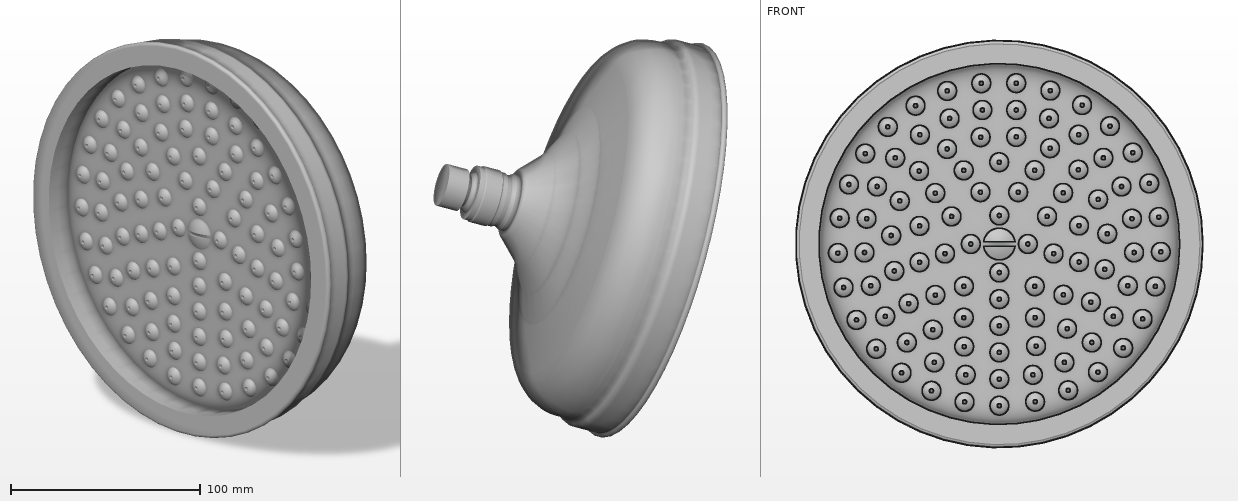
import cadquery as cq
import math


RIM_DIAMETER = 215.0
TOTAL_DEPTH = 120.5

BEAD_RADIUS = 1.7
BAND_RADIUS = RIM_DIAMETER / 2 - BEAD_RADIUS
BAND_TOP = 15.7
STEP_WIDTH = 3.2
STEP_HEIGHT = 6.5
SHOULDER_RADIUS = BAND_RADIUS - STEP_WIDTH
SHOULDER_START = 26.0
SHOULDER_ARC = 22.5
CONE_SLOPE = math.radians(13)
CONE_END_RADIUS = 59.3
BELL_TOP_RADIUS = 19.8
BELL_TOP = 81.3
BELL_ROUND_HEIGHT = 1.5
BELL_ROUND_WIDTH = 2.0

FOOT_RADIUS = 15.3
GROOVE_RADIUS = 14.0
COLLAR_RADIUS = 14.6
NUT_RADIUS = 15.3
BALL_BASE_RADIUS = 11.0
BALL_TOP_RADIUS = 9.0
WAIST_RADIUS = 8.2
NECK_RADIUS = 8.8
STUB_RADIUS = 11.5
FOOT_TOP = 83.6
FOOT_LIP_RADIUS = 14.5
FOOT_LIP = 85.1
GROOVE_BOTTOM = 85.8
GROOVE_TOP = 88.4
NUT_BOTTOM = 91.0
NUT_TOP = 101.0
COLLAR_TOP = 104.0
BALL_TOP = 106.6
STUB_BOTTOM = 109.0
NUT_BEVEL = NUT_RADIUS - COLLAR_RADIUS
BALL_BULGE = 0.2

RECESS_RADIUS = 95.2
RECESS_DEPTH = 15.0
NOZZLE_RADIUS = 5.0
NOZZLE_HEIGHT = 2.5
OUTLET_DIAMETER = 2.2
INNER_ROW_RADIUS = 15.0
OUTER_ROW_RADIUS = 85.4
NOZZLE_ROWS = [(4, 90), (9, 40), (14, 25.7), (19, 18.9), (25, 14.4), (29, 12.4)]
FIRST_NOZZLE_ANGLE = -90

SCREW_RADIUS = 8.4
SCREW_HEIGHT = 2.5
SLOT_WIDTH = 2.2
SLOT_DEPTH = SCREW_HEIGHT


def turn(profile):
    """Revolve a closed (radius, Y) outline about the Y axis."""
    return profile.close().revolve(360, (0, 0, 0), (0, 1, 0))


def make_bell():
    """Rim bead, band, stepped shoulder and flared bell, as one solid of revolution."""
    shoulder_end_radius = SHOULDER_RADIUS - SHOULDER_ARC * (1 - math.sin(CONE_SLOPE))
    shoulder_end = SHOULDER_START + SHOULDER_ARC * math.cos(CONE_SLOPE)
    cone_end = shoulder_end + (shoulder_end_radius - CONE_END_RADIUS) * math.tan(CONE_SLOPE)
    step_middle = (BAND_RADIUS - STEP_WIDTH / 2, BAND_TOP + STEP_HEIGHT / 2)
    profile = (
        cq.Workplane("XY")
        .lineTo(BAND_RADIUS, 0)
        .threePointArc((RIM_DIAMETER / 2, BEAD_RADIUS), (BAND_RADIUS, 2 * BEAD_RADIUS))
        .lineTo(BAND_RADIUS, BAND_TOP)
        .tangentArcPoint(step_middle, relative=False)
        .tangentArcPoint((SHOULDER_RADIUS, BAND_TOP + STEP_HEIGHT), relative=False)
        .lineTo(SHOULDER_RADIUS, SHOULDER_START)
        .tangentArcPoint((shoulder_end_radius, shoulder_end), relative=False)
        .lineTo(CONE_END_RADIUS, cone_end)
        .tangentArcPoint((BELL_TOP_RADIUS, BELL_TOP - BELL_ROUND_HEIGHT), relative=False)
        .tangentArcPoint((BELL_TOP_RADIUS - BELL_ROUND_WIDTH, BELL_TOP), relative=False)
        .lineTo(0, BELL_TOP)
    )
    return turn(profile)


def make_connection():
    """Foot, grooved collar, nut, ball and inlet stub behind the bell."""
    ball_middle = (
        (BALL_BASE_RADIUS + BALL_TOP_RADIUS) / 2 + BALL_BULGE,
        (COLLAR_TOP + BALL_TOP) / 2 + BALL_BULGE,
    )
    profile = (
        cq.Workplane("XY")
        .moveTo(0, BELL_TOP - BELL_ROUND_HEIGHT)
        .lineTo(FOOT_RADIUS, BELL_TOP - BELL_ROUND_HEIGHT)
        .lineTo(FOOT_RADIUS, FOOT_TOP)
        .lineTo(FOOT_LIP_RADIUS, FOOT_LIP)
        .lineTo(GROOVE_RADIUS, GROOVE_BOTTOM)
        .lineTo(GROOVE_RADIUS, GROOVE_TOP)
        .lineTo(COLLAR_RADIUS, GROOVE_TOP)
        .lineTo(COLLAR_RADIUS, NUT_BOTTOM)
        .lineTo(NUT_RADIUS, NUT_BOTTOM + NUT_BEVEL)
        .lineTo(NUT_RADIUS, NUT_TOP - NUT_BEVEL)
        .lineTo(COLLAR_RADIUS, NUT_TOP)
        .lineTo(COLLAR_RADIUS, COLLAR_TOP)
        .lineTo(BALL_BASE_RADIUS, COLLAR_TOP)
        .threePointArc(ball_middle, (BALL_TOP_RADIUS, BALL_TOP))
        .lineTo(WAIST_RADIUS, BALL_TOP)
        .lineTo(NECK_RADIUS, STUB_BOTTOM)
        .lineTo(STUB_RADIUS, STUB_BOTTOM)
        .lineTo(STUB_RADIUS, TOTAL_DEPTH)
        .lineTo(0, TOTAL_DEPTH)
    )
    return turn(profile)


def make_cap(radius, height):
    """Spherical cap on the recess floor at the axis, domed towards -Y."""
    sphere_radius = (radius**2 + height**2) / (2 * height)
    half_angle = math.asin(radius / sphere_radius) / 2
    tip = RECESS_DEPTH - height
    arc_middle = (
        sphere_radius * math.sin(half_angle),
        tip + sphere_radius * (1 - math.cos(half_angle)),
    )
    embed = RECESS_DEPTH + height
    profile = (
        cq.Workplane("XY")
        .moveTo(0, tip)
        .threePointArc(arc_middle, (radius, RECESS_DEPTH))
        .lineTo(radius, embed)
        .lineTo(0, embed)
    )
    return turn(profile)


def make_nozzle():
    """Domed nozzle with a central outlet as deep as the dome is high."""
    floor = cq.Workplane("XZ", origin=(0, RECESS_DEPTH, 0))
    outlet = floor.circle(OUTLET_DIAMETER / 2).extrude(NOZZLE_HEIGHT)
    return make_cap(NOZZLE_RADIUS, NOZZLE_HEIGHT).cut(outlet)


def nozzle_positions():
    """(X, Z) centres of all nozzles, each row starting at the bottom and running clockwise."""
    row_spacing = (OUTER_ROW_RADIUS - INNER_ROW_RADIUS) / (len(NOZZLE_ROWS) - 1)
    positions = []
    for row, (count, pitch) in enumerate(NOZZLE_ROWS):
        radius = INNER_ROW_RADIUS + row * row_spacing
        for index in range(count):
            angle = math.radians(FIRST_NOZZLE_ANGLE - index * pitch)
            positions.append((radius * math.cos(angle), radius * math.sin(angle)))
    return positions


def make_screw():
    """Domed centre screw head with a horizontal driver slot."""
    slot_centre = RECESS_DEPTH - SCREW_HEIGHT + SLOT_DEPTH / 2
    slot = cq.Workplane("XY", origin=(0, slot_centre, 0)).box(2 * SCREW_RADIUS, SLOT_DEPTH, SLOT_WIDTH)
    return make_cap(SCREW_RADIUS, SCREW_HEIGHT).cut(slot)


recess = cq.Workplane("XZ").circle(RECESS_RADIUS).extrude(-RECESS_DEPTH)
body = make_bell().union(make_connection()).cut(recess)

nozzle = make_nozzle().val()
fittings = [nozzle.translate(cq.Vector(x, 0, z)) for x, z in nozzle_positions()]
fittings.append(make_screw().val())

result = cq.Workplane(body.val().fuse(*fittings)).clean()